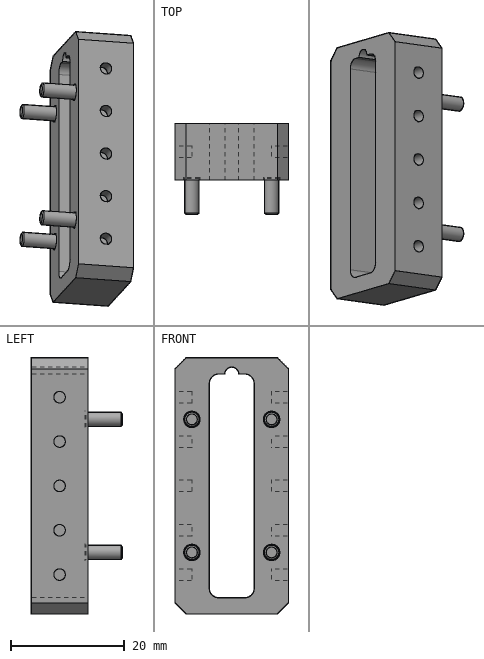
import cadquery as cq

block_width = 20.0
block_depth = 10.0
block_height = 45.0
corner_chamfer = 2.0

window_width = 7.85
window_height = 39.25
window_corner_radius = 1.6
notch_radius = 1.2

row_pitch = 7.8

side_wall = (block_width - window_width) / 2
cross_hole_diameter = 2.02
cross_hole_depth = side_wall / 2
cross_hole_count = 5

overall_depth = 16.0
pin_length = overall_depth - block_depth
pin_radius = 1.25
pin_spacing_x = 14.0
pin_spacing_z = 3 * row_pitch

tip_radius = 0.95
tip_length = 0.22

recess_radius = 1.45
recess_depth = 0.5
cone_length = recess_radius - pin_radius

front_y = -block_depth / 2


def make_block():
    return (
        cq.Workplane("XY")
        .box(block_width, block_depth, block_height)
        .edges("|Y")
        .chamfer(corner_chamfer)
    )


def make_window():
    slot = (
        cq.Workplane("XY")
        .box(window_width, block_depth, window_height)
        .edges("|Y")
        .fillet(window_corner_radius)
    )
    notch = (
        cq.Workplane("XZ")
        .center(0, window_height / 2)
        .circle(notch_radius)
        .extrude(block_depth / 2, both=True)
    )
    return slot.union(notch)


def make_cross_holes():
    left_holes = (
        cq.Workplane("YZ", origin=(-block_width / 2, 0, 0))
        .rarray(0.45, row_pitch, 1, cross_hole_count)
        .circle(cross_hole_diameter / 2)
        .extrude(cross_hole_depth)
    )
    return left_holes.union(left_holes.mirror("YZ"))


def make_recess():
    """Recess around the pin axis, running from the -Y face into the block."""
    return cq.Workplane("XZ", origin=(0, front_y, 0)).circle(recess_radius).extrude(-recess_depth)


def make_pin():
    """Pin turned about the Y axis, from the recess floor out to the bevelled tip."""
    floor_y = front_y + recess_depth
    tip_y = front_y - pin_length
    return (
        cq.Workplane("XY")
        .moveTo(0, floor_y)
        .lineTo(recess_radius, floor_y)
        .lineTo(pin_radius, floor_y - cone_length)
        .lineTo(pin_radius, tip_y + tip_length)
        .lineTo(tip_radius, tip_y)
        .lineTo(0, tip_y)
        .close()
        .revolve(360, (0, 0, 0), (0, 1, 0))
    )


result = make_block().cut(make_window()).cut(make_cross_holes())

for side_x in (-1, 1):
    for side_z in (-1, 1):
        pin_position = (side_x * pin_spacing_x / 2, 0, side_z * pin_spacing_z / 2)
        result = result.cut(make_recess().translate(pin_position))
        result = result.union(make_pin().translate(pin_position))